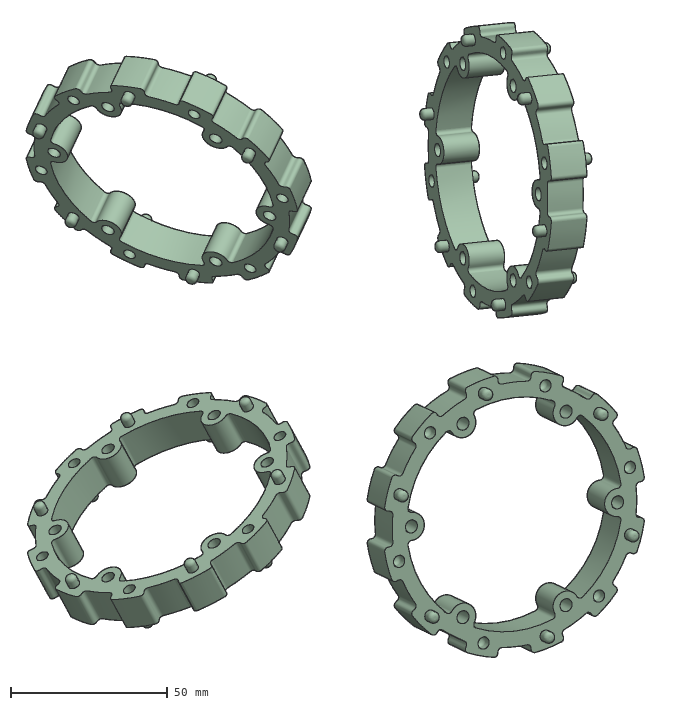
import cadquery as cq
import math

overall_width = 92.7
length_y = 20.3
pin_height = 3.8
thickness = length_y - 2 * pin_height
inner_radius = 38.5
outer_radius = 43.65

lug_count = 12
lug_half_angle = 360 / lug_count / 4
lug_corner_radius = 1.3
first_lug_angle = 2 * lug_half_angle

lug_slope = math.radians(lug_half_angle)
corner_tangent_reach = (
    overall_width / 2 - lug_corner_radius * (1 - math.sin(lug_slope))
) / math.cos(lug_slope)
lug_radius = lug_corner_radius + math.hypot(corner_tangent_reach, lug_corner_radius)

boss_count = 6
first_boss_angle = 0
bolt_circle_radius = 36.8
boss_radius = 4.6
bolt_hole_diameter = 4.3
boss_blend_radius = 1.3

pin_circle_radius = 42.6
pin_diameter = 3.8
socket_diameter = 4.0
tip_radius = 1.3
socket_depth = pin_height + (socket_diameter - pin_diameter) / 2

pick_margin = 0.05


def polar_points(radius, count, first_angle):
    """Evenly spaced (x, z) points on a circle around the Y axis."""
    angles = [math.radians(first_angle + 360 * i / count) for i in range(count)]
    return [(radius * math.cos(a), radius * math.sin(a)) for a in angles]


def cylinder(radius, height, start_y=0):
    """Cylinder on the Y axis running from start_y toward +Y."""
    plane = cq.Workplane("XZ", origin=(0, start_y, 0))
    return plane.circle(radius).extrude(-height)


def edges_at(points):
    """Selector for the straight corner edges passing near the given (x, z) points."""
    boxes = [
        cq.selectors.BoxSelector(
            (x - pick_margin, -pick_margin, z - pick_margin),
            (x + pick_margin, thickness + pick_margin, z + pick_margin),
        )
        for x, z in points
    ]
    selector = boxes[0]
    for box in boxes[1:]:
        selector = selector + box
    return selector


def corner_points(radius, half_angle, count, first_angle):
    """Points on both sides of each evenly spaced feature."""
    before = polar_points(radius, count, first_angle - half_angle)
    after = polar_points(radius, count, first_angle + half_angle)
    return before + after


def make_lugged_disc():
    """Solid disc with radial-sided lugs, rounded at their tips and roots."""
    disc = cylinder(outer_radius, thickness)
    reach = 2 * lug_radius
    half_width = reach * math.tan(lug_slope)
    wedge = cq.Workplane("XZ").polyline([(0, 0), (reach, -half_width), (reach, half_width)]).close()
    lug = wedge.extrude(-thickness).intersect(cylinder(lug_radius, thickness))
    for i in range(lug_count):
        angle = first_lug_angle + i * 360 / lug_count
        disc = disc.union(lug.rotate((0, 0, 0), (0, 1, 0), -angle))
    corners = []
    for radius in (lug_radius, outer_radius):
        corners += corner_points(radius, lug_half_angle, lug_count, first_lug_angle)
    return disc.edges(edges_at(corners)).fillet(lug_corner_radius)


def bolt_circle_cylinders(radius):
    """Full-thickness cylinders at every bolt position."""
    centres = polar_points(bolt_circle_radius, boss_count, first_boss_angle)
    return cq.Workplane("XZ").pushPoints(centres).circle(radius).extrude(-thickness)


def make_opening():
    """Round opening, notched by the bosses and rounded where they meet it."""
    opening = cylinder(inner_radius, thickness).cut(bolt_circle_cylinders(boss_radius))
    squares = inner_radius**2 + bolt_circle_radius**2 - boss_radius**2
    meeting_angle = math.degrees(math.acos(squares / (2 * inner_radius * bolt_circle_radius)))
    corners = corner_points(inner_radius, meeting_angle, boss_count, first_boss_angle)
    return opening.edges(edges_at(corners)).fillet(boss_blend_radius)


def round_ended_pegs(diameter, height, direction, start_y, first_angle):
    """Pegs with rounded tips, pointing along direction (+1 or -1) on Y."""
    tip = "<Y" if direction < 0 else ">Y"
    peg = cylinder(diameter / 2, direction * height, start_y).faces(tip).edges().fillet(tip_radius)
    pegs = cq.Workplane("XY")
    for x, z in polar_points(pin_circle_radius, lug_count // 2, first_angle):
        pegs = pegs.add(peg.translate((x, 0, z)))
    return pegs.combine()


front_pin_angle = first_lug_angle + 360 / lug_count
back_pin_angle = first_lug_angle

ring = make_lugged_disc().cut(make_opening()).cut(bolt_circle_cylinders(bolt_hole_diameter / 2))

ring = ring.cut(round_ended_pegs(socket_diameter, socket_depth, 1, 0, back_pin_angle))
ring = ring.cut(round_ended_pegs(socket_diameter, socket_depth, -1, thickness, front_pin_angle))
ring = ring.union(round_ended_pegs(pin_diameter, pin_height, -1, 0, front_pin_angle))
ring = ring.union(round_ended_pegs(pin_diameter, pin_height, 1, thickness, back_pin_angle))

result = ring.translate((0, -thickness / 2, 0))